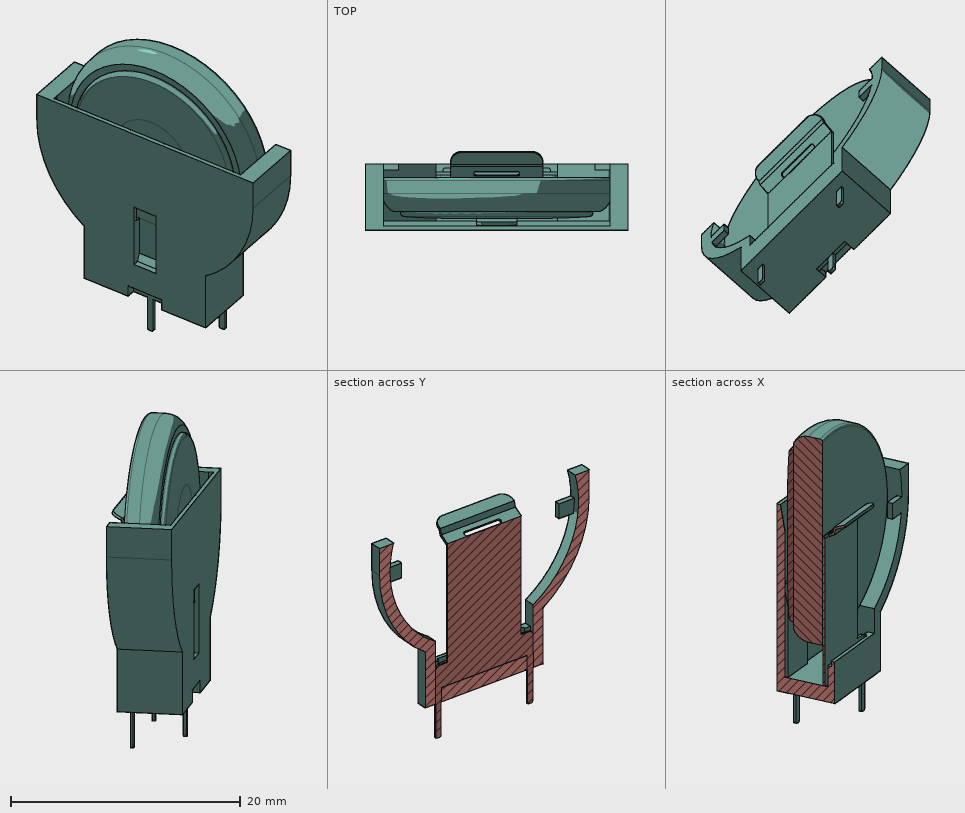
import cadquery as cq
import math


CELL_Z = 15.11
CELL_R = 10.0
CELL_BACK_Y = 4.59
CAN_FRONT_Y = 1.655
CAN_ROUND_START_Y = 3.2
CAN_LIP_R = 9.05
CAN_BACK_ROUND = 0.25
CAP_R = 8.4
CAP_FRONT_Y = 1.04
CAP_FLAT_R = 3.85
CAP_EDGE_ROUND = 0.35
CAP_DOME_DROP = 0.18

HOUSING_DEPTH = 5.8
HOUSING_R = 11.45
HOUSING_TOP = 17.84
BASE_HALF_WIDTH = 6.43
POCKET_R = 10.24
POCKET_FRONT_Y = 0.83
MOUTH_FRONT_Y = 0.38
MOUTH_TAPER_HEIGHT = 2.45
SLOT_HALF_WIDTH = 5.3
BACK_STEP_Y = 5.1
BACK_STEP_Z = 4.0
RELIEF_WIDTH = 9.4
RELIEF_BACK_Y = 5.45
RELIEF_DEPTH = 0.5
RELIEF_ROUND = 0.25
SLOT_FLOOR_Z = 1.5
WINDOW_WIDTH = 2.32
WINDOW_BOTTOM = 3.71
WINDOW_TOP = 9.91
SILL_DEPTH = 0.55
SILL_RAMP_TOP = 4.44
NOTCH_HEIGHT = 1.12
LIP_WIDTH = 1.3
LIP_DEPTH = 0.52
LIP_HEIGHT = 1.5

PIN_WIDTH = 0.62
PIN_LENGTH = 3.5
PIN_PITCH = 5.0
PIN_TIP_ROUND = 0.2
NEGATIVE_SHEET = 0.28
NEGATIVE_WIDTH = 3.55
NEGATIVE_BEND_Z = 8.23
NEGATIVE_TIP_Z = 10.2
NEGATIVE_TIP_Y = 0.43
NEGATIVE_TIP_ROUND = 0.45
POSITIVE_SHEET = 0.25
SPRING_WIDTH = 8.06
SHOULDER_TOP = 3.8
SHOULDER_ROUND = 0.4
SPRING_KNEE_Y = 5.55
SPRING_KNEE_Z = 16.25
SPRING_SLOPE = math.radians(30)
SPRING_WINDOW_WIDTH = 4.0
SPRING_WINDOW_LENGTH = 0.47
SPRING_WINDOW_START = 0.15
SPRING_WINDOW_ROUND = 0.2
TAB_ROOT_Y = 5.72
TAB_ROOT_Z = 16.81
TAB_LENGTH = 1.17
TAB_SLOPE = math.radians(24)
TAB_ROUND = 1.0


def box(x0, x1, y0, y1, z0, z1):
    return cq.Workplane("XY").box(x1 - x0, y1 - y0, z1 - z0, centered=False).translate((x0, y0, z0))


def wide_box(width, y0, y1, z0, z1):
    """Box centred on X = 0."""
    return box(-width / 2, width / 2, y0, y1, z0, z1)


def disc(radius, y0, y1):
    """Disc on the cell axis."""
    return cq.Workplane("XZ", origin=(0, y0, CELL_Z)).circle(radius).extrude(y0 - y1)


def revolve_on_cell_axis(profile):
    """Turn an (radius, Y) profile about the cell axis."""
    return profile.close().revolve(360, (0, 0, 0), (0, 1, 0)).translate((0, 0, CELL_Z))


def side_prism(points, width):
    """Prism with a (Y, Z) outline, centred on X = 0."""
    return cq.Workplane("YZ").polyline(points).close().extrude(width / 2, both=True)


def bent_sheet(path, sheet, width):
    """Strip of even thickness whose front side follows an upward (Y, Z) path, with mitred bends."""
    headings = [math.atan2(b[1] - a[1], b[0] - a[0]) for a, b in zip(path, path[1:])]
    arriving = headings[:1] + headings
    leaving = headings + headings[-1:]
    back = []
    for (y, z), before, after in zip(path, arriving, leaving):
        middle = (before + after) / 2
        reach = sheet / math.cos((after - before) / 2)
        back.append((y + reach * math.sin(middle), z - reach * math.cos(middle)))
    return side_prism(path + back[::-1], width)


def pin(x, front_y, sheet, top_z):
    blade = box(x - PIN_WIDTH / 2, x + PIN_WIDTH / 2, front_y, front_y + sheet, -PIN_LENGTH, top_z)
    return blade.edges("|Y and <Z").fillet(PIN_TIP_ROUND)


def make_can():
    rim_round = CELL_R - CAN_LIP_R
    rim_run = CAN_ROUND_START_Y - CAN_FRONT_Y
    rim_radius = (rim_run**2 + rim_round**2) / (2 * rim_round)
    half_angle = math.asin(rim_run / rim_radius) / 2
    rim_middle = (
        CELL_R - rim_radius * (1 - math.cos(half_angle)),
        CAN_ROUND_START_Y - rim_radius * math.sin(half_angle),
    )
    profile = (
        cq.Workplane("XY")
        .moveTo(0, CAN_FRONT_Y)
        .lineTo(CAN_LIP_R, CAN_FRONT_Y)
        .threePointArc(rim_middle, (CELL_R, CAN_ROUND_START_Y))
        .lineTo(CELL_R, CELL_BACK_Y)
        .lineTo(0, CELL_BACK_Y)
    )
    return revolve_on_cell_axis(profile).faces(">Y").edges().fillet(CAN_BACK_ROUND)


def make_cap():
    rim_y = CAP_FRONT_Y + CAP_DOME_DROP
    dome_run = CAP_R - CAP_FLAT_R
    dome_radius = (dome_run**2 + CAP_DOME_DROP**2) / (2 * CAP_DOME_DROP)
    half_angle = math.asin(dome_run / dome_radius) / 2
    dome_middle = (
        CAP_FLAT_R + dome_radius * math.sin(half_angle),
        CAP_FRONT_Y + dome_radius * (1 - math.cos(half_angle)),
    )
    profile = (
        cq.Workplane("XY")
        .moveTo(0, CAN_FRONT_Y)
        .lineTo(CAP_R, CAN_FRONT_Y)
        .lineTo(CAP_R, rim_y)
        .threePointArc(dome_middle, (CAP_FLAT_R, CAP_FRONT_Y))
        .lineTo(0, CAP_FRONT_Y)
    )
    cap = revolve_on_cell_axis(profile)
    return cap.faces("%CYLINDER").edges("%CIRCLE").edges("<Y").fillet(CAP_EDGE_ROUND)


def make_negative_contact():
    front = POCKET_FRONT_Y
    path = [(front, 0), (front, NEGATIVE_BEND_Z), (NEGATIVE_TIP_Y, NEGATIVE_TIP_Z)]
    strip = bent_sheet(path, NEGATIVE_SHEET, NEGATIVE_WIDTH)
    lean = math.atan2(front - NEGATIVE_TIP_Y, NEGATIVE_TIP_Z - NEGATIVE_BEND_Z)
    across = cq.Vector(0, math.cos(lean), math.sin(lean))
    tip_corners = strip.edges(cq.selectors.ParallelDirSelector(across)).edges(">Z")
    return tip_corners.fillet(NEGATIVE_TIP_ROUND).union(pin(0, front, NEGATIVE_SHEET, NOTCH_HEIGHT))


def spring_window(foot_y, foot_z):
    """Cutter square to the sloping part of the spring, which rises from the given foot."""
    slope_direction = cq.Vector(0, math.cos(SPRING_SLOPE), math.sin(SPRING_SLOPE))
    slope_normal = cq.Vector(0, -math.sin(SPRING_SLOPE), math.cos(SPRING_SLOPE))
    middle = cq.Vector(0, foot_y, foot_z) + slope_direction * (SPRING_WINDOW_START + SPRING_WINDOW_LENGTH / 2)
    return (
        cq.Workplane(cq.Plane(origin=middle, xDir=(1, 0, 0), normal=slope_normal))
        .rect(SPRING_WINDOW_WIDTH, SPRING_WINDOW_LENGTH)
        .extrude(2 * POSITIVE_SHEET, both=True)
        .edges(cq.selectors.ParallelDirSelector(slope_normal))
        .fillet(SPRING_WINDOW_ROUND)
    )


def make_positive_contact():
    front = CELL_BACK_Y
    back = front + POSITIVE_SHEET
    bend_z = SPRING_KNEE_Z - (SPRING_KNEE_Y - front) * math.tan(SPRING_SLOPE)
    tab_tip = (
        TAB_ROOT_Y + TAB_LENGTH * math.cos(TAB_SLOPE),
        TAB_ROOT_Z + TAB_LENGTH * math.sin(TAB_SLOPE),
    )
    path = [
        (front, SLOT_FLOOR_Z),
        (front, bend_z),
        (SPRING_KNEE_Y, SPRING_KNEE_Z),
        (TAB_ROOT_Y, TAB_ROOT_Z),
        tab_tip,
    ]
    spring = bent_sheet(path, POSITIVE_SHEET, SPRING_WIDTH)
    across_tab = cq.Vector(0, -math.sin(TAB_SLOPE), math.cos(TAB_SLOPE))
    tab_corners = spring.edges(cq.selectors.ParallelDirSelector(across_tab)).edges(">Y")
    spring = tab_corners.fillet(TAB_ROUND).cut(spring_window(front, bend_z))

    plate = wide_box(2 * SLOT_HALF_WIDTH, front, back, SLOT_FLOOR_Z, SHOULDER_TOP)
    contact = plate.edges("|Y and >Z").fillet(SHOULDER_ROUND).union(spring)
    for side in (-1, 1):
        contact = contact.union(pin(side * PIN_PITCH, front, POSITIVE_SHEET, SLOT_FLOOR_Z))
    return contact


def housing_blank():
    shoulder_z = CELL_Z - math.sqrt(HOUSING_R**2 - BASE_HALF_WIDTH**2)
    side_angle = (math.asin(BASE_HALF_WIDTH / HOUSING_R) + math.pi / 2) / 2
    arc_x = HOUSING_R * math.sin(side_angle)
    arc_z = CELL_Z - HOUSING_R * math.cos(side_angle)
    return (
        cq.Workplane("XZ")
        .moveTo(-BASE_HALF_WIDTH, 0)
        .lineTo(BASE_HALF_WIDTH, 0)
        .lineTo(BASE_HALF_WIDTH, shoulder_z)
        .threePointArc((arc_x, arc_z), (HOUSING_R, CELL_Z))
        .lineTo(HOUSING_R, HOUSING_TOP)
        .lineTo(-HOUSING_R, HOUSING_TOP)
        .lineTo(-HOUSING_R, CELL_Z)
        .threePointArc((-arc_x, arc_z), (-BASE_HALF_WIDTH, shoulder_z))
        .close()
        .extrude(-HOUSING_DEPTH)
    )


def contact_window():
    """Front window whose sill ramps up towards the contact."""
    return side_prism(
        [
            (0, WINDOW_BOTTOM),
            (SILL_DEPTH, WINDOW_BOTTOM),
            (POCKET_FRONT_Y, SILL_RAMP_TOP),
            (POCKET_FRONT_Y, WINDOW_TOP),
            (0, WINDOW_TOP),
        ],
        WINDOW_WIDTH,
    )


def make_housing(contacts):
    mouth_half = math.sqrt(POCKET_R**2 - (HOUSING_TOP - CELL_Z) ** 2)
    slot_width = 2 * SLOT_HALF_WIDTH

    housing = housing_blank()
    housing = housing.cut(disc(POCKET_R, POCKET_FRONT_Y, HOUSING_DEPTH))
    mouth_taper = [
        (POCKET_FRONT_Y, HOUSING_TOP - MOUTH_TAPER_HEIGHT),
        (POCKET_FRONT_Y, HOUSING_TOP),
        (MOUTH_FRONT_Y, HOUSING_TOP),
    ]
    housing = housing.cut(side_prism(mouth_taper, 2 * mouth_half))
    housing = housing.cut(wide_box(slot_width, POCKET_FRONT_Y, HOUSING_DEPTH, BACK_STEP_Z, CELL_Z))
    housing = housing.cut(wide_box(slot_width, POCKET_FRONT_Y, BACK_STEP_Y, SLOT_FLOOR_Z, CELL_Z))
    relief = wide_box(RELIEF_WIDTH, BACK_STEP_Y, RELIEF_BACK_Y, BACK_STEP_Z - RELIEF_DEPTH, BACK_STEP_Z)
    housing = housing.cut(relief.edges("|Z and >Y").fillet(RELIEF_ROUND))
    housing = housing.cut(contact_window())
    housing = housing.cut(
        wide_box(NEGATIVE_WIDTH, MOUTH_FRONT_Y, POCKET_FRONT_Y, NEGATIVE_BEND_Z, HOUSING_TOP)
    )
    housing = housing.cut(wide_box(NEGATIVE_WIDTH, 0, POCKET_FRONT_Y, 0, NOTCH_HEIGHT))

    lip_inner = mouth_half - LIP_WIDTH
    lip_back = HOUSING_DEPTH - LIP_DEPTH
    lip_bottom = CELL_Z - LIP_HEIGHT
    lips = wide_box(2 * HOUSING_R, lip_back, HOUSING_DEPTH, lip_bottom, CELL_Z)
    lips = lips.cut(wide_box(2 * lip_inner, lip_back, HOUSING_DEPTH, lip_bottom, CELL_Z))
    housing = housing.union(lips.intersect(housing_blank()))

    for contact in contacts:
        housing = housing.cut(contact)
    return housing


can = make_can()
cap = make_cap()
negative_contact = make_negative_contact()
positive_contact = make_positive_contact()
housing = make_housing([negative_contact, positive_contact])

result = cq.Compound.makeCompound(
    [housing.val(), can.val(), cap.val(), negative_contact.val(), positive_contact.val()]
)